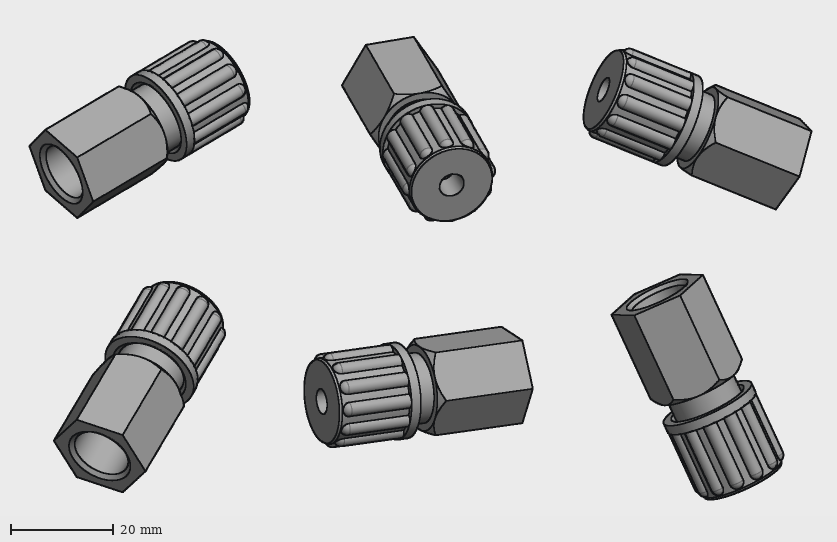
import cadquery as cq
import math

total_length = 41.0
passage_diameter = 5.0

across_flats = 17.0
across_corners = across_flats / math.cos(math.radians(30))
hex_length = 20.0
neck_diameter = 14.0
neck_end = 34.85
port_diameter = 11.45
port_depth = 12.3
port_chamfer = 0.85

collar_diameter = 19.0
collar_start = 24.0
collar_length = 2.0
collar_end = collar_start + collar_length
core_diameter = 17.0
tip_diameter = 16.52
tip_length = 0.55
socket_chamfer = 0.8

rib_count = 12
rib_turn = 3.5
rib_radius = 1.48
rib_circle_radius = collar_diameter / 2 - rib_radius
rib_end_gap = 0.6
rib_length = total_length - rib_end_gap - rib_radius - collar_end


def cylinder(diameter, start, end):
    """Round bar along Y from start to end."""
    return cq.Workplane("XZ", origin=(0, start, 0)).circle(diameter / 2).extrude(start - end)


def cone(start_diameter, end_diameter, start, end):
    """Truncated cone along Y."""
    return cq.Workplane(
        cq.Solid.makeCone(
            start_diameter / 2, end_diameter / 2, end - start, cq.Vector(0, start, 0), cq.Vector(0, 1, 0)
        )
    )


def make_hex_bar():
    """Hexagonal bar whose corners are turned down at 45 degrees next to the neck."""
    bar = cq.Workplane("XZ").polygon(6, across_corners).extrude(-hex_length)
    corner_height = (across_corners - across_flats) / 2
    turned_envelope = cylinder(across_corners, 0, hex_length - corner_height).union(
        cone(across_corners, across_flats, hex_length - corner_height, hex_length)
    )
    return bar.intersect(turned_envelope)


def make_fitting_body():
    """Hexagonal body and neck with a chamfered port and a narrower through passage."""
    body = make_hex_bar().union(cylinder(neck_diameter, hex_length, neck_end))
    port_mouth = cone(port_diameter + 2 * port_chamfer, port_diameter, 0, port_chamfer)
    body = body.cut(cylinder(port_diameter, 0, port_depth)).cut(port_mouth)
    return body.cut(cylinder(passage_diameter, 0, neck_end))


def make_rib(angle):
    """Round rib with a spherical end, at the given angle from +Z towards +X."""
    x = rib_circle_radius * math.sin(math.radians(angle))
    z = rib_circle_radius * math.cos(math.radians(angle))
    bar = cylinder(2 * rib_radius, collar_end, collar_end + rib_length)
    end_ball = cq.Workplane("XY", origin=(0, collar_end + rib_length, 0)).sphere(rib_radius)
    return bar.union(end_ball).translate((x, 0, z))


def make_nut():
    """Ribbed nut with a collar, a tapered tip and a chamfered socket around the neck."""
    tip_start = total_length - tip_length
    nut = cylinder(collar_diameter, collar_start, collar_end)
    nut = nut.union(cylinder(core_diameter, collar_end, tip_start))
    nut = nut.union(cone(core_diameter, tip_diameter, tip_start, total_length))
    for i in range(rib_count):
        nut = nut.union(make_rib(rib_turn + i * 360 / rib_count))
    socket_mouth_diameter = neck_diameter + 2 * socket_chamfer
    nut = nut.cut(cone(socket_mouth_diameter, neck_diameter, collar_start, collar_start + socket_chamfer))
    nut = nut.cut(cylinder(neck_diameter, collar_start, neck_end))
    return nut.cut(cylinder(passage_diameter, neck_end, total_length))


fitting_body = make_fitting_body()
nut = make_nut()

result = cq.Compound.makeCompound([fitting_body.solids().val(), nut.solids().val()])